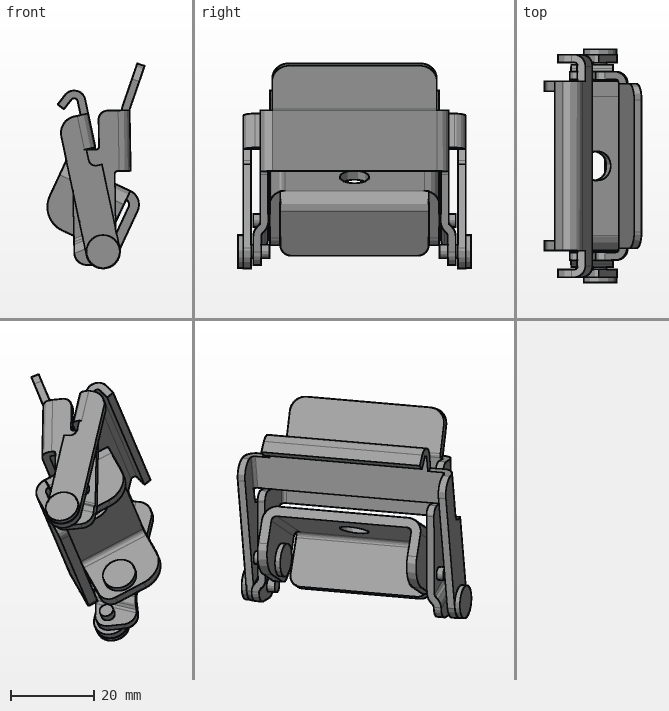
import cadquery as cq
import math


HOOK_TURN = -12.0
HOOK_SHEET = 1.9
HOOK_INNER_BEND = 0.85
HOOK_OUTER_BEND = HOOK_INNER_BEND + HOOK_SHEET
HOOK_HALF_WIDTH = 26.7
HOOK_LEG_RADIUS = 4.1
HOOK_FACE = 3.4
HOOK_WEB_BOTTOM = 24.8
HOOK_WEB_TOP = 33.15
HOOK_BEND_LINE = HOOK_FACE - HOOK_OUTER_BEND
HOOK_NOTCH_WALL = 1.2
HOOK_NOTCH_FLOOR = 20.5
HOOK_NOTCH_RADIUS = 1.7
CURL_HALF_WIDTH = 20.35
CURL_START = 36.6
CURL_ANGLE = 130.0
CURL_LIP = 2.9

LEVER_TURN = -1.0
LEVER_SHEET = 1.9
LEVER_INNER_BEND = 0.95
LEVER_OUTER_BEND = LEVER_INNER_BEND + LEVER_SHEET
LEVER_HALF_WIDTH = 22.65
LEVER_INSIDE = LEVER_HALF_WIDTH - LEVER_SHEET
LEVER_FACE = 7.0
LEVER_WEB_BOTTOM = 19.2
LEVER_WEB_TOP = 33.85
LEVER_BEND_LINE = LEVER_FACE - LEVER_OUTER_BEND
LEVER_FRONT = -6.95
LEVER_REAR = 3.15
LEVER_SHOULDER = 24.55
LEVER_UPPER_FRONT = -0.55
LEVER_CORNER = 2.25
LEVER_NOTCH_RADIUS = 0.7
FOOT_BOTTOM = -3.2
FOOT_CORNER = 3.1
FOOT_HALF_WIDTH = 24.3
FOOT_INSIDE = FOOT_HALF_WIDTH - LEVER_SHEET
JOGGLE_SLOPE = 21.0
JOGGLE_ANGLE = 45.0
JOGGLE_STEP = FOOT_HALF_WIDTH - LEVER_HALF_WIDTH
JOGGLE_START = 5.1
HANDLE_ANGLE = 20.0
HANDLE_LENGTH = 10.85
HANDLE_CORNER = 3.9
HANDLE_HALF_WIDTH = LEVER_INSIDE - LEVER_INNER_BEND

BASE_TURN = 25.0
BASE_SHEET = 2.4
BASE_INNER_BEND = 1.25
BASE_OUTER_BEND = BASE_INNER_BEND + BASE_SHEET
BASE_HALF_WIDTH = 20.35
BASE_INSIDE = BASE_HALF_WIDTH - BASE_SHEET
BASE_TOP = 15.95
BASE_BOTTOM = 0.42
BASE_FRONT = -17.25
FLAP_FACE = 3.4
BASE_REAR = FLAP_FACE - BASE_OUTER_BEND
FRONT_CORNER = 6.3
REAR_CORNER = 3.1
FLAP_HALF_WIDTH = 17.8
FLAP_CORNER = 2.8
MOUNT_HOLE = 7.0
MOUNT_HOLE_PLACE = -8.1

HEAD_DIAMETER = 7.95
PIN_DIAMETER = 3.3
PIN_INNER_END = 20.4
PIN_OUTER_END = 28.0
RIVET_DIAMETER = 3.2
RIVET_X = -4.0
RIVET_Z = 7.45
RIVET_HEAD = 1.35

SIDES = (1, -1)


def slab(outline, near, far):
    """Extrude an outline function, drawn in the XZ plane, between two Y levels."""
    return outline(cq.Workplane("XZ", origin=(0, far, 0))).extrude(far - near)


def block(x_range, y_range, z_range):
    """Box between pairs of limits."""
    size = [high - low for low, high in (x_range, y_range, z_range)]
    low_corner = (x_range[0], y_range[0], z_range[0])
    return cq.Workplane("XY").box(*size, centered=False).translate(low_corner)


def cylinder(diameter, near, far, x=0.0, z=0.0):
    """Cylinder along Y between two Y levels."""
    return cq.Workplane("XZ", origin=(x, far, z)).circle(diameter / 2).extrude(far - near)


def both_sides(body):
    """Join a shape to its mirror image across Y = 0."""
    return body.union(body.mirror("XZ"))


def web_with_bends(face, half_width, sheet, inner_bend, z_range):
    """Upright cross web whose two ends are bent forward up to the bend lines."""
    bend_line = face - sheet - inner_bend
    inside = half_width - sheet
    front = bend_line - sheet
    outer = block((front, face), (-half_width, half_width), z_range)
    outer = outer.edges("|Z and >X").fillet(inner_bend + sheet)
    inner = block((front, face - sheet), (-inside, inside), z_range)
    channel = outer.cut(inner.edges("|Z and >X").fillet(inner_bend))
    return channel.intersect(block((bend_line, face), (-half_width, half_width), z_range))


def bend(x_range, half_width, level, axis_x, angle):
    """Bent strip that starts at a level of Z and turns about an axis parallel to Y."""
    width = x_range[1] - x_range[0]
    middle = (x_range[0] + x_range[1]) / 2
    section = cq.Workplane("XY", origin=(0, 0, level)).center(middle, 0).rect(width, 2 * half_width)
    pivot = axis_x - middle
    return section.revolve(abs(angle), (pivot, 0), (pivot, math.copysign(1, angle)))


def turn(body, angle, x=0.0, z=0.0):
    """Turn a shape about an axis parallel to Y."""
    return body.rotate((x, 0, z), (x, 1, z), angle)


def hook_leg_outline(plane):
    corner_mid = HOOK_LEG_RADIUS * math.sqrt(0.5)
    corner_centre = HOOK_WEB_TOP - HOOK_LEG_RADIUS
    notch_mid = HOOK_NOTCH_RADIUS * (1 - math.sqrt(0.5))
    return (
        plane.moveTo(-HOOK_LEG_RADIUS, 0)
        .lineTo(-HOOK_LEG_RADIUS, corner_centre)
        .threePointArc((-corner_mid, corner_centre + corner_mid), (0, HOOK_WEB_TOP))
        .lineTo(HOOK_BEND_LINE, HOOK_WEB_TOP)
        .lineTo(HOOK_BEND_LINE, HOOK_WEB_BOTTOM)
        .lineTo(HOOK_NOTCH_WALL, HOOK_WEB_BOTTOM)
        .lineTo(HOOK_NOTCH_WALL, HOOK_NOTCH_FLOOR + HOOK_NOTCH_RADIUS)
        .threePointArc(
            (HOOK_NOTCH_WALL + notch_mid, HOOK_NOTCH_FLOOR + notch_mid),
            (HOOK_NOTCH_WALL + HOOK_NOTCH_RADIUS, HOOK_NOTCH_FLOOR),
        )
        .lineTo(HOOK_LEG_RADIUS, HOOK_NOTCH_FLOOR)
        .lineTo(HOOK_LEG_RADIUS, 0)
        .threePointArc((0, -HOOK_LEG_RADIUS), (-HOOK_LEG_RADIUS, 0))
        .close()
    )


def make_hook():
    leg = slab(hook_leg_outline, HOOK_HALF_WIDTH - HOOK_SHEET, HOOK_HALF_WIDTH)
    leg = leg.cut(cylinder(PIN_DIAMETER, 0, PIN_OUTER_END))
    web = web_with_bends(
        HOOK_FACE, HOOK_HALF_WIDTH, HOOK_SHEET, HOOK_INNER_BEND, (HOOK_WEB_BOTTOM, HOOK_WEB_TOP)
    )
    sheet_x = (HOOK_FACE - HOOK_SHEET, HOOK_FACE)
    tongue_y = (-CURL_HALF_WIDTH, CURL_HALF_WIDTH)
    tongue = block(sheet_x, tongue_y, (HOOK_WEB_TOP, CURL_START))
    curl = bend(sheet_x, CURL_HALF_WIDTH, CURL_START, HOOK_BEND_LINE, -CURL_ANGLE)
    lip = block(sheet_x, tongue_y, (CURL_START, CURL_START + CURL_LIP))
    lip = turn(lip, -CURL_ANGLE, HOOK_BEND_LINE, CURL_START)
    hook = both_sides(leg).union(web).union(tongue).union(curl).union(lip)
    return turn(hook, HOOK_TURN)


def lever_side_outline(plane):
    return (
        plane.moveTo(LEVER_FRONT, FOOT_BOTTOM)
        .lineTo(LEVER_FRONT, LEVER_SHOULDER)
        .lineTo(LEVER_UPPER_FRONT, LEVER_SHOULDER)
        .lineTo(LEVER_UPPER_FRONT, LEVER_WEB_TOP)
        .lineTo(LEVER_BEND_LINE, LEVER_WEB_TOP)
        .lineTo(LEVER_BEND_LINE, LEVER_WEB_BOTTOM)
        .lineTo(LEVER_REAR, LEVER_WEB_BOTTOM)
        .lineTo(LEVER_REAR, FOOT_BOTTOM)
        .close()
    )


def round_cross_edge(body, x, z, radius):
    """Round the edge that runs along Y through the point (x, z)."""
    reach = 0.05
    selector = cq.selectors.BoxSelector(
        (x - reach, -PIN_OUTER_END, z - reach), (x + reach, PIN_OUTER_END, z + reach)
    )
    return body.edges("|Y").edges(selector).fillet(radius)


def joggled_sheet():
    """Sheet that steps outward below the joggle; its bend lines slope up to the rear."""
    far = LEVER_WEB_TOP + LEVER_FACE
    drop = JOGGLE_STEP / math.tan(math.radians(JOGGLE_ANGLE))
    offset = LEVER_SHEET * math.tan(math.radians(JOGGLE_ANGLE / 2))
    outer_top = (LEVER_HALF_WIDTH, JOGGLE_START)
    outer_bottom = (FOOT_HALF_WIDTH, JOGGLE_START - drop)
    inner_top = (LEVER_INSIDE, JOGGLE_START - offset)
    inner_bottom = (FOOT_INSIDE, JOGGLE_START - offset - drop)
    outer_face = [(LEVER_HALF_WIDTH, far), outer_top, outer_bottom, (FOOT_HALF_WIDTH, -far)]
    inner_face = [(FOOT_INSIDE, -far), inner_bottom, inner_top, (LEVER_INSIDE, far)]
    sheet = cq.Workplane("YZ").polyline(outer_face + inner_face).close().extrude(far, both=True)
    corners = [
        (outer_top, LEVER_INNER_BEND),
        (outer_bottom, LEVER_OUTER_BEND),
        (inner_top, LEVER_OUTER_BEND),
        (inner_bottom, LEVER_INNER_BEND),
    ]
    for corner, radius in corners:
        edge = cq.selectors.NearestToPointSelector((0, *corner))
        sheet = sheet.edges("|X").edges(edge).fillet(radius)
    return turn(sheet, -JOGGLE_SLOPE)


def make_lever():
    side = slab(lever_side_outline, LEVER_INSIDE, FOOT_HALF_WIDTH)
    roundings = [
        (LEVER_FRONT, FOOT_BOTTOM, FOOT_CORNER),
        (LEVER_REAR, FOOT_BOTTOM, FOOT_CORNER),
        (LEVER_FRONT, LEVER_SHOULDER, LEVER_CORNER),
        (LEVER_UPPER_FRONT, LEVER_WEB_TOP, LEVER_CORNER),
        (LEVER_UPPER_FRONT, LEVER_SHOULDER, LEVER_NOTCH_RADIUS),
        (LEVER_REAR, LEVER_WEB_BOTTOM, LEVER_NOTCH_RADIUS),
    ]
    for x, z, radius in roundings:
        side = round_cross_edge(side, x, z, radius)
    side = side.intersect(joggled_sheet())

    web = web_with_bends(
        LEVER_FACE, LEVER_HALF_WIDTH, LEVER_SHEET, LEVER_INNER_BEND, (LEVER_WEB_BOTTOM, LEVER_WEB_TOP)
    )
    sheet_x = (LEVER_FACE - LEVER_SHEET, LEVER_FACE)
    handle_axis = LEVER_FACE + LEVER_INNER_BEND
    handle_bend = bend(sheet_x, HANDLE_HALF_WIDTH, LEVER_WEB_TOP, handle_axis, HANDLE_ANGLE)
    handle = block(
        sheet_x,
        (-HANDLE_HALF_WIDTH, HANDLE_HALF_WIDTH),
        (LEVER_WEB_TOP, LEVER_WEB_TOP + HANDLE_LENGTH),
    )
    handle = handle.edges("|X and >Z").fillet(HANDLE_CORNER)
    handle = turn(handle, HANDLE_ANGLE, handle_axis, LEVER_WEB_TOP)
    lever = both_sides(side).union(web).union(handle_bend).union(handle)
    lever = turn(lever, LEVER_TURN)
    lever = lever.cut(cylinder(PIN_DIAMETER, -PIN_OUTER_END, PIN_OUTER_END))
    return lever.cut(cylinder(RIVET_DIAMETER, -PIN_OUTER_END, PIN_OUTER_END, RIVET_X, RIVET_Z))


def make_base():
    base_x = (BASE_FRONT, BASE_REAR)
    channel = block(base_x, (-BASE_HALF_WIDTH, BASE_HALF_WIDTH), (BASE_BOTTOM, BASE_TOP))
    channel = channel.edges("|X and >Z").fillet(BASE_OUTER_BEND)
    channel = channel.edges("|Y and <X and <Z").fillet(FRONT_CORNER)
    channel = channel.edges("|Y and >X and <Z").fillet(REAR_CORNER)
    inside = block(base_x, (-BASE_INSIDE, BASE_INSIDE), (BASE_BOTTOM, BASE_TOP - BASE_SHEET))
    channel = channel.cut(inside.edges("|X and >Z").fillet(BASE_INNER_BEND))
    hole = cq.Workplane("XY").center(MOUNT_HOLE_PLACE, 0).circle(MOUNT_HOLE / 2).extrude(BASE_TOP)
    channel = channel.cut(hole)

    flap_x = (FLAP_FACE - BASE_SHEET, FLAP_FACE)
    flap_top = BASE_TOP - BASE_OUTER_BEND
    flap = block(flap_x, (-FLAP_HALF_WIDTH, FLAP_HALF_WIDTH), (BASE_BOTTOM, flap_top))
    flap = flap.edges("|X and <Z").fillet(FLAP_CORNER)
    flap_bend = bend(flap_x, FLAP_HALF_WIDTH, flap_top, BASE_REAR, -90)
    base = turn(channel.union(flap).union(flap_bend), BASE_TURN)
    return base.cut(cylinder(RIVET_DIAMETER, -BASE_HALF_WIDTH, BASE_HALF_WIDTH, RIVET_X, RIVET_Z))


def on_side(body, side):
    """Leave a shape on the +Y side, or mirror it to the -Y side."""
    return body if side > 0 else body.mirror("XZ")


def make_hook_pin(side):
    """Pin through hook leg and lever foot, with its head outside the hook leg."""
    shaft = cylinder(PIN_DIAMETER, PIN_INNER_END, PIN_OUTER_END)
    head = cylinder(HEAD_DIAMETER, HOOK_HALF_WIDTH, PIN_OUTER_END)
    return on_side(shaft.union(head), side)


def make_rivet(side):
    """Rivet through lever and base leg, with its head inside the base."""
    head_end = BASE_INSIDE - RIVET_HEAD
    shaft = cylinder(RIVET_DIAMETER, head_end, FOOT_HALF_WIDTH, RIVET_X, RIVET_Z)
    head = cylinder(HEAD_DIAMETER, head_end, BASE_INSIDE, RIVET_X, RIVET_Z)
    return on_side(shaft.union(head), side)


hook = make_hook()
lever = make_lever()
base = make_base()
hook_pins = [make_hook_pin(side).val() for side in SIDES]
rivets = [make_rivet(side).val() for side in SIDES]

result = cq.Compound.makeCompound([hook.val(), lever.val(), base.val(), *hook_pins, *rivets])